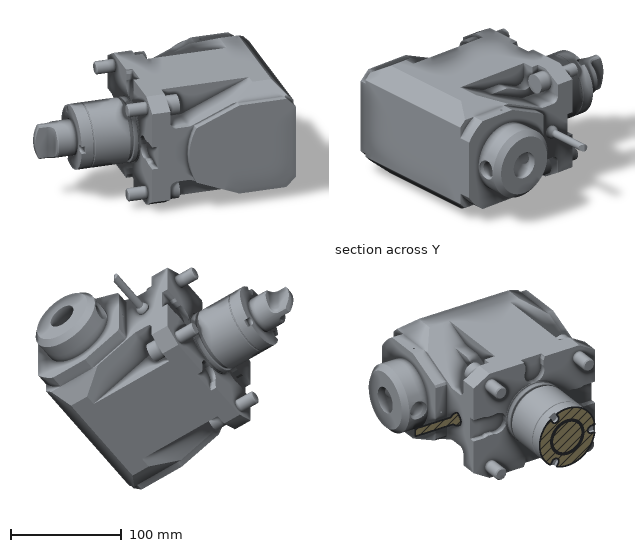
import cadquery as cq
import math


HALF_WIDTH = 65.0
HALF_HEIGHT = 54.0
BACK_Y = 134.0
SIDE_AXIS_Y = 90.0
EDGE_RUN = 17.0
EDGE_DROP = 10.0
BACK_CHAMFER = 15.7
SHOULDER_HALF_HEIGHT = HALF_HEIGHT - EDGE_DROP

FLANGE_THICKNESS = 17.3
POCKET_INNER_X = 37.8
POCKET_FLOOR_Z = 26.6
POCKET_TOP_Y = 100.5
POCKET_RAMP_END_Y = 36.0
POCKET_FILLET = 6.0
RAMP_SLOPE = (HALF_HEIGHT - POCKET_FLOOR_Z) / (POCKET_TOP_Y - POCKET_RAMP_END_Y)

STEP_INNER_X = 26.7
STEP_FRONT_Y = 24.3
STEP_TOP_Z = 42.3
STEP_RAMP_START_Y = 54.0
STEP_FILLET = 8.2
STEP_BLEND = 10.0

SCREW_X = 47.0
SCREW_Z = 42.0
SCREW_DIAMETER = 12.0
SCREW_HEAD_DIAMETER = 18.0
SCREW_HEAD_LENGTH = 12.0
SCREW_PROTRUSION = 18.0
SCREW_CHAMFER = 1.0

SLOT_DEPTH = 5.8
SLOT_MOUTH_HALF = 11.0
SLOT_HALF = 9.8
SLOT_MOUTH_RADIUS = 53.0
SLOT_NECK_RADIUS = 50.0
SLOT_END_RADIUS = 10.6
SLOT_END_CENTER = 40.2

COLLAR_DIAMETER = 59.9
BODY_DIAMETER = 59.7
PILOT_DIAMETER = 59.8
RELIEF_DIAMETER = 58.4
SEAL_GROOVE_DIAMETER = 55.2
RELIEF_END = 1.4
EDGE_BREAK = 0.4
RECESS_DIAMETER = 62.0
RECESS_DEPTH = 1.0
COLLAR_END = 5.7
SEAL_GROOVE_END = 9.1
CAP_GROOVE_START = 42.5
CAP_GROOVE_END = 43.6
CAP_END = 55.3
NOTCH_COUNT = 3
NOTCH_WIDTH = 7.0
NOTCH_CENTER_RADIUS = 25.6
NOTCH_DEPTH = 4.0

NOSE_DIAMETER = 33.0
NOSE_SHOULDER = 73.4
NECK_DIAMETER = 32.4
NECK_END = 56.6
NOSE_BORE_DIAMETER = 34.6
NOSE_BORE_DEPTH = 1.0
TONGUE_TIP = 90.8
TONGUE_THICKNESS = 7.0
TONGUE_FILLET = 6.0
TONGUE_CHAMFER = 1.1
TIP_RADIUS = 36.0
TIP_CORNER = 2.0

PLATE_OUTER_X = -77.0
PLATE_FRONT_Y = 45.0
PLATE_RAMP_TOP_Y = 82.5
PLATE_CORNER_Y = 46.3
PLATE_CORNER_Z = 28.6
PLATE_CORNER_DROP = 2.3
PLATE_BACK_RADIUS = 52.0
PLATE_HOLE_DIAMETER = 2.1
PLATE_HOLE_DEPTH = 4.0
NUT_OUTER_X = -102.0
NUT_DIAMETER = 65.3
NUT_FACE_DIAMETER = 55.2
NUT_BORE_DIAMETER = 25.1
CROSS_HOLE_X = -87.2
CROSS_HOLE_DIAMETER = 14.0
CROSS_HOLE_MOUTH = 18.0

COVER_OUTER_X = 71.5
COVER_RADIUS = 57.0
COVER_ARC_HALF_HEIGHT = 27.0
COVER_RAMP_TOP_Y = 80.5
COVER_BACK_CHAMFER = 9.0

PIPE_Y = 25.9
PIPE_END_X = -111.0
PIPE_DIAMETER = 7.0
PIPE_BALL_DIAMETER = 12.0
PIPE_BALL_X = -66.0
PIPE_BEVEL_RUN = 4.0

OVERCUT = 10.0


def box(x_range, y_range, z_range):
    """Axis-aligned box given by its limits."""
    size = [high - low for low, high in (x_range, y_range, z_range)]
    corner = (x_range[0], y_range[0], z_range[0])
    return cq.Workplane("XY").box(*size, centered=False).translate(corner)


def y_cylinder(diameter, y_start, y_end, x=0.0, z=0.0):
    """Cylinder along Y between two stations."""
    cylinder = cq.Solid.makeCylinder(
        diameter / 2, y_end - y_start, cq.Vector(x, y_start, z), cq.Vector(0, 1, 0)
    )
    return cq.Workplane(obj=cylinder)


def x_cylinder(diameter, x_start, x_end, y):
    """Cylinder along X between two stations, at z = 0."""
    cylinder = cq.Solid.makeCylinder(
        diameter / 2, x_end - x_start, cq.Vector(x_start, y, 0), cq.Vector(1, 0, 0)
    )
    return cq.Workplane(obj=cylinder)


def along_x(x_start):
    """Sketch plane with local axes Y and Z, extruding toward +X."""
    return cq.Workplane("YZ", origin=(x_start, 0, 0))


def make_housing():
    top_half = HALF_WIDTH - EDGE_RUN
    outline = []
    for x_sign, z_sign in ((1, 1), (-1, 1), (-1, -1), (1, -1)):
        corner = [
            (x_sign * HALF_WIDTH, z_sign * SHOULDER_HALF_HEIGHT),
            (x_sign * top_half, z_sign * HALF_HEIGHT),
        ]
        outline += corner if x_sign * z_sign > 0 else corner[::-1]
    housing = cq.Workplane("XZ").polyline(outline).close().extrude(-BACK_Y)
    side_profile = box(
        (-HALF_WIDTH, HALF_WIDTH), (0, BACK_Y), (-HALF_HEIGHT, HALF_HEIGHT)
    ).edges("|X and >Y").chamfer(BACK_CHAMFER)
    return housing.intersect(side_profile)


def ramp_point(z):
    """Point of the pocket ramp at height z, as (y, z)."""
    return (POCKET_TOP_Y - (HALF_HEIGHT - z) / RAMP_SLOPE, z)


def make_screw_pocket():
    """Cutter for the upper right screw pocket: flat floor rising along a ramp to the back."""
    over_top = HALF_HEIGHT + OVERCUT
    cutter = (
        along_x(POCKET_INNER_X)
        .moveTo(FLANGE_THICKNESS, over_top)
        .lineTo(FLANGE_THICKNESS, POCKET_FLOOR_Z + POCKET_FILLET)
        .radiusArc((FLANGE_THICKNESS + POCKET_FILLET, POCKET_FLOOR_Z), -POCKET_FILLET)
        .lineTo(POCKET_RAMP_END_Y, POCKET_FLOOR_Z)
        .lineTo(*ramp_point(over_top))
        .close()
        .extrude(HALF_WIDTH + OVERCUT - POCKET_INNER_X)
    )
    ramp_foot = cq.selectors.NearestToPointSelector(
        ((HALF_WIDTH + OVERCUT + POCKET_INNER_X) / 2, POCKET_RAMP_END_Y, POCKET_FLOOR_Z)
    )
    return cutter.edges(ramp_foot).fillet(POCKET_FILLET)


def make_stepped_pocket():
    """Cutter for the pocket next to the upper left screw pocket, with a raised step."""
    over_top = HALF_HEIGHT + OVERCUT
    ramp_foot_z = STEP_TOP_Z - RAMP_SLOPE * (STEP_RAMP_START_Y - STEP_FRONT_Y)
    width = POCKET_INNER_X - STEP_INNER_X
    cutter = (
        along_x(-POCKET_INNER_X)
        .moveTo(STEP_FRONT_Y, over_top)
        .lineTo(STEP_FRONT_Y, ramp_foot_z)
        .lineTo(STEP_RAMP_START_Y, STEP_TOP_Z)
        .lineTo(*ramp_point(STEP_TOP_Z))
        .lineTo(*ramp_point(over_top))
        .close()
        .extrude(width)
    )
    middle_x = -(POCKET_INNER_X + STEP_INNER_X) / 2
    bends = (
        (STEP_FRONT_Y, ramp_foot_z, STEP_FILLET),
        (STEP_RAMP_START_Y, STEP_TOP_Z, STEP_BLEND),
        (*ramp_point(STEP_TOP_Z), STEP_BLEND),
    )
    for y, z, radius in bends:
        bend = cq.selectors.NearestToPointSelector((middle_x, y, z))
        cutter = cutter.edges(bend).fillet(radius)
    return cutter


def cut_pockets(housing):
    upper_right = make_screw_pocket()
    upper_pair = upper_right.union(upper_right.mirror("YZ"))
    housing = housing.cut(upper_pair).cut(upper_pair.mirror("XY"))
    return housing.cut(make_stepped_pocket())


def make_key_slot(edge_distance):
    """Cutter for one key slot on the +X side of the mounting face, reaching past the edge."""
    outer = edge_distance + OVERCUT
    outline = [
        (outer, -SLOT_MOUTH_HALF),
        (SLOT_MOUTH_RADIUS, -SLOT_MOUTH_HALF),
        (SLOT_NECK_RADIUS, -SLOT_HALF),
        (SLOT_END_CENTER, -SLOT_HALF),
        (SLOT_END_CENTER, SLOT_HALF),
        (SLOT_NECK_RADIUS, SLOT_HALF),
        (SLOT_MOUTH_RADIUS, SLOT_MOUTH_HALF),
        (outer, SLOT_MOUTH_HALF),
    ]
    channel = cq.Workplane("XZ").polyline(outline).close().extrude(-SLOT_DEPTH)
    return channel.union(y_cylinder(2 * SLOT_END_RADIUS, 0, SLOT_DEPTH, x=SLOT_END_CENTER))


def cut_key_slots(housing):
    for quarter in range(4):
        edge_distance = HALF_HEIGHT if quarter % 2 else HALF_WIDTH
        slot = make_key_slot(edge_distance).rotate((0, 0, 0), (0, 1, 0), 90 * quarter)
        housing = housing.cut(slot)
    return housing


def make_screw(x, z):
    shank = y_cylinder(SCREW_DIAMETER, -SCREW_PROTRUSION, FLANGE_THICKNESS, x, z)
    shank = shank.faces("<Y").chamfer(SCREW_CHAMFER)
    head_end = FLANGE_THICKNESS + SCREW_HEAD_LENGTH
    return shank.union(y_cylinder(SCREW_HEAD_DIAMETER, FLANGE_THICKNESS, head_end, x, z))


def make_cartridge():
    stations = (
        (PILOT_DIAMETER, -SLOT_DEPTH, 0, ()),
        (RELIEF_DIAMETER, 0, RELIEF_END, ()),
        (COLLAR_DIAMETER, RELIEF_END, COLLAR_END, (">Y", "<Y")),
        (SEAL_GROOVE_DIAMETER, COLLAR_END, SEAL_GROOVE_END, ()),
        (BODY_DIAMETER, SEAL_GROOVE_END, CAP_GROOVE_START, ("<Y",)),
        (RELIEF_DIAMETER, CAP_GROOVE_START, CAP_GROOVE_END, ()),
        (BODY_DIAMETER, CAP_GROOVE_END, CAP_END, (">Y",)),
    )
    cartridge = y_cylinder(SEAL_GROOVE_DIAMETER, -CAP_END, SLOT_DEPTH)
    for diameter, start, end, broken_ends in stations:
        section = y_cylinder(diameter, -end, -start)
        for broken_end in broken_ends:
            section = section.faces(broken_end).chamfer(EDGE_BREAK)
        cartridge = cartridge.union(section)
    cartridge = cartridge.cut(y_cylinder(NOSE_BORE_DIAMETER, -CAP_END, NOSE_BORE_DEPTH - CAP_END))
    half_notch = NOTCH_WIDTH / 2
    notch = y_cylinder(NOTCH_WIDTH, -CAP_END, NOTCH_DEPTH - CAP_END, x=NOTCH_CENTER_RADIUS).union(
        box(
            (NOTCH_CENTER_RADIUS, BODY_DIAMETER),
            (-CAP_END, NOTCH_DEPTH - CAP_END),
            (-half_notch, half_notch),
        )
    )
    for index in range(NOTCH_COUNT):
        angle = 360 / NOTCH_COUNT * index
        cartridge = cartridge.cut(notch.rotate((0, 0, 0), (0, 1, 0), angle))
    return cartridge


def make_nose():
    """Drive nose: a round shank ending in a flat tongue with a domed tip."""
    nose = y_cylinder(NECK_DIAMETER, -NECK_END, NOSE_BORE_DEPTH - CAP_END)
    nose = nose.union(y_cylinder(NOSE_DIAMETER, -TONGUE_TIP, -NECK_END).faces("<Y").chamfer(TIP_CORNER))
    dome = cq.Workplane("XY").sphere(TIP_RADIUS).translate((0, TIP_RADIUS - TONGUE_TIP, 0))
    nose = nose.intersect(dome)
    half = TONGUE_THICKNESS / 2
    outer = NOSE_DIAMETER
    side_cut = (
        cq.Workplane("XY", origin=(0, 0, -outer))
        .moveTo(half, -TONGUE_TIP - OVERCUT)
        .lineTo(half, -NOSE_SHOULDER - TONGUE_FILLET)
        .radiusArc((half + TONGUE_FILLET, -NOSE_SHOULDER), TONGUE_FILLET)
        .lineTo(outer, -NOSE_SHOULDER)
        .lineTo(outer, -TONGUE_TIP - OVERCUT)
        .close()
        .extrude(2 * outer)
    )
    nose = nose.cut(side_cut).cut(side_cut.mirror("YZ"))
    for x_sign in (-1, 1):
        rim = cq.selectors.NearestToPointSelector((x_sign * NOSE_DIAMETER / 2, -NOSE_SHOULDER, 0))
        nose = nose.edges(rim).chamfer(TONGUE_CHAMFER)
    return nose


def make_plate():
    """Plate on the left side, with small holes pointing at the nut axis."""
    front_half = PLATE_CORNER_Z - PLATE_CORNER_DROP
    upper = [
        (PLATE_FRONT_Y, front_half),
        (PLATE_CORNER_Y, PLATE_CORNER_Z),
        (PLATE_RAMP_TOP_Y, SHOULDER_HALF_HEIGHT),
    ]
    lower = [(y, -z) for y, z in reversed(upper)]
    arc_start_y = SIDE_AXIS_Y + math.sqrt(PLATE_BACK_RADIUS**2 - SHOULDER_HALF_HEIGHT**2)
    back_half = math.sqrt(PLATE_BACK_RADIUS**2 - (BACK_Y - SIDE_AXIS_Y) ** 2)
    plate = (
        along_x(PLATE_OUTER_X)
        .polyline(lower + upper)
        .lineTo(arc_start_y, SHOULDER_HALF_HEIGHT)
        .radiusArc((BACK_Y, back_half), PLATE_BACK_RADIUS)
        .lineTo(BACK_Y, -back_half)
        .radiusArc((arc_start_y, -SHOULDER_HALF_HEIGHT), PLATE_BACK_RADIUS)
        .close()
        .extrude(-HALF_WIDTH - PLATE_OUTER_X)
    )
    middle_x = (PLATE_OUTER_X - HALF_WIDTH) / 2
    front_hole = y_cylinder(
        PLATE_HOLE_DIAMETER, PLATE_FRONT_Y, PLATE_FRONT_Y + PLATE_HOLE_DEPTH, x=middle_x
    )
    top_hole = (
        cq.Workplane("XY", origin=(middle_x, SIDE_AXIS_Y, SHOULDER_HALF_HEIGHT))
        .circle(PLATE_HOLE_DIAMETER / 2)
        .extrude(-PLATE_HOLE_DEPTH)
    )
    return plate.cut(front_hole).cut(top_hole)


def make_nut():
    """Round nut with a bevelled face, a bore to the plate and a cross hole along Y."""
    bevel = (NUT_DIAMETER - NUT_FACE_DIAMETER) / 2
    nut = x_cylinder(NUT_DIAMETER, NUT_OUTER_X, PLATE_OUTER_X, SIDE_AXIS_Y)
    nut = nut.faces("<X").chamfer(bevel)
    nut = nut.cut(x_cylinder(NUT_BORE_DIAMETER, NUT_OUTER_X, PLATE_OUTER_X, SIDE_AXIS_Y))
    radius = NUT_DIAMETER / 2
    nut = nut.cut(
        y_cylinder(CROSS_HOLE_DIAMETER, SIDE_AXIS_Y - radius, SIDE_AXIS_Y + radius, x=CROSS_HOLE_X)
    )
    mouth_radius = CROSS_HOLE_MOUTH / 2
    cone_start = math.sqrt(radius**2 - mouth_radius**2)
    cone_end = cone_start - (CROSS_HOLE_MOUTH - CROSS_HOLE_DIAMETER) / 2
    mouth = (
        cq.Workplane("XY", origin=(CROSS_HOLE_X, SIDE_AXIS_Y, 0))
        .polyline(
            [(0, cone_end), (CROSS_HOLE_DIAMETER / 2, cone_end), (mouth_radius, cone_start),
             (mouth_radius, radius), (0, radius)]
        )
        .close()
        .revolve(360, (0, 0, 0), (0, 1, 0))
    )
    nut = nut.cut(mouth)
    nut = nut.cut(mouth.mirror("XZ", (0, SIDE_AXIS_Y, 0)))
    return nut


def make_cover():
    """Right cover, rounded toward the mounting face."""
    arc_y = SIDE_AXIS_Y - math.sqrt(COVER_RADIUS**2 - COVER_ARC_HALF_HEIGHT**2)
    back_half = SHOULDER_HALF_HEIGHT - COVER_BACK_CHAMFER
    return (
        along_x(HALF_WIDTH)
        .moveTo(arc_y, COVER_ARC_HALF_HEIGHT)
        .lineTo(COVER_RAMP_TOP_Y, SHOULDER_HALF_HEIGHT)
        .lineTo(BACK_Y - COVER_BACK_CHAMFER, SHOULDER_HALF_HEIGHT)
        .lineTo(BACK_Y, back_half)
        .lineTo(BACK_Y, -back_half)
        .lineTo(BACK_Y - COVER_BACK_CHAMFER, -SHOULDER_HALF_HEIGHT)
        .lineTo(COVER_RAMP_TOP_Y, -SHOULDER_HALF_HEIGHT)
        .lineTo(arc_y, -COVER_ARC_HALF_HEIGHT)
        .threePointArc((SIDE_AXIS_Y - COVER_RADIUS, 0), (arc_y, COVER_ARC_HALF_HEIGHT))
        .close()
        .extrude(COVER_OUTER_X - HALF_WIDTH)
    )


def make_pipe():
    """Coolant pipe on a ball seat, its free end bevelled on the +Y side."""
    radius = PIPE_DIAMETER / 2
    pipe = x_cylinder(PIPE_DIAMETER, PIPE_END_X, PIPE_BALL_X, PIPE_Y)
    bevel = (
        cq.Workplane("XY", origin=(0, 0, -radius))
        .polyline(
            [
                (PIPE_END_X, PIPE_Y),
                (PIPE_END_X + PIPE_BEVEL_RUN, PIPE_Y + radius),
                (PIPE_END_X, PIPE_Y + radius),
            ]
        )
        .close()
        .extrude(PIPE_DIAMETER)
    )
    ball = cq.Workplane("XY").sphere(PIPE_BALL_DIAMETER / 2).translate((PIPE_BALL_X, PIPE_Y, 0))
    return pipe.cut(bevel).union(ball)


result = cut_key_slots(cut_pockets(make_housing()))
result = result.cut(y_cylinder(RECESS_DIAMETER, 0, RECESS_DEPTH))
for screw_x in (-SCREW_X, SCREW_X):
    for screw_z in (-SCREW_Z, SCREW_Z):
        result = result.union(make_screw(screw_x, screw_z))
for attachment in (make_cartridge(), make_nose(), make_plate(), make_nut(), make_cover(), make_pipe()):
    result = result.union(attachment)